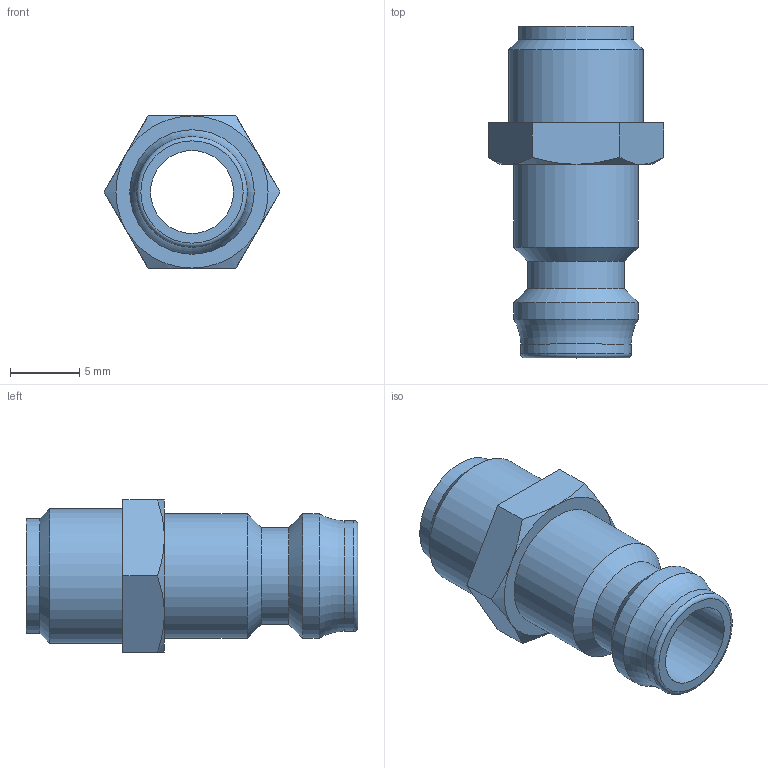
import cadquery as cq
import math


NOSE_LENGTH = 1.0
LIP_START = 2.8
LIP_END = 4.0
CONE_LENGTH = 1.0
GROOVE_START = LIP_END + CONE_LENGTH
GROOVE_END = 7.0
SHANK_START = GROOVE_END + CONE_LENGTH
HEX_START = 14.0
HEX_LENGTH = 3.0
HEX_END = HEX_START + HEX_LENGTH
TOTAL_LENGTH = 24.0
SPIGOT_LENGTH = 1.0
SPIGOT_START = TOTAL_LENGTH - SPIGOT_LENGTH

NOSE_RADIUS = 8.0 / 2
SHANK_RADIUS = 9.0 / 2
GROOVE_RADIUS = 7.0 / 2
THREAD_RADIUS = 9.728 / 2
SPIGOT_RADIUS = 8.3 / 2
BORE_RADIUS = 6.0 / 2

TIP_ROUNDING = 0.3
HEX_ACROSS_FLATS = 11.0
HEX_CHAMFER_ANGLE = math.radians(30)

THREAD_END = SPIGOT_START - (THREAD_RADIUS - SPIGOT_RADIUS)


def flare_midpoint():
    """Middle of the concave arc that leaves the nose tangentially and rises to the lip."""
    length = LIP_START - NOSE_LENGTH
    rise = SHANK_RADIUS - NOSE_RADIUS
    arc_radius = (length**2 + rise**2) / (2 * rise)
    half_angle = math.asin(length / arc_radius) / 2
    return (
        NOSE_RADIUS + arc_radius * (1 - math.cos(half_angle)),
        NOSE_LENGTH + arc_radius * math.sin(half_angle),
    )


def revolve_about_y(profile):
    return profile.close().revolve(360, (0, 0, 0), (0, 1, 0))


def turned_body():
    rounding_offset = TIP_ROUNDING * (1 - math.sqrt(0.5))
    profile = (
        cq.Workplane("XY")
        .moveTo(0, 0)
        .lineTo(NOSE_RADIUS - TIP_ROUNDING, 0)
        .threePointArc(
            (NOSE_RADIUS - rounding_offset, rounding_offset),
            (NOSE_RADIUS, TIP_ROUNDING),
        )
        .lineTo(NOSE_RADIUS, NOSE_LENGTH)
        .threePointArc(flare_midpoint(), (SHANK_RADIUS, LIP_START))
        .lineTo(SHANK_RADIUS, LIP_END)
        .lineTo(GROOVE_RADIUS, GROOVE_START)
        .lineTo(GROOVE_RADIUS, GROOVE_END)
        .lineTo(SHANK_RADIUS, SHANK_START)
        .lineTo(SHANK_RADIUS, HEX_START)
        .lineTo(THREAD_RADIUS, HEX_START)
        .lineTo(THREAD_RADIUS, THREAD_END)
        .lineTo(SPIGOT_RADIUS, SPIGOT_START)
        .lineTo(SPIGOT_RADIUS, TOTAL_LENGTH)
        .lineTo(0, TOTAL_LENGTH)
    )
    return revolve_about_y(profile)


def hex_collar():
    """Hexagon with corners on +X and -X, its tip-side corners turned off to a cone."""
    flat_radius = HEX_ACROSS_FLATS / 2
    corner_radius = flat_radius / math.cos(math.pi / 6)
    hexagon = (
        cq.Workplane("XZ", origin=(0, HEX_START, 0))
        .polygon(6, 2 * corner_radius)
        .extrude(-HEX_LENGTH)
    )
    cone_depth = HEX_LENGTH / 2
    cone_radius = flat_radius + cone_depth / math.tan(HEX_CHAMFER_ANGLE)
    chamfer_blank = (
        cq.Workplane("XY")
        .moveTo(0, HEX_START)
        .lineTo(flat_radius, HEX_START)
        .lineTo(cone_radius, HEX_START + cone_depth)
        .lineTo(cone_radius, HEX_END)
        .lineTo(0, HEX_END)
    )
    return hexagon.intersect(revolve_about_y(chamfer_blank))


def through_bore():
    return cq.Workplane("XZ").circle(BORE_RADIUS).extrude(-TOTAL_LENGTH)


result = turned_body().union(hex_collar()).cut(through_bore())